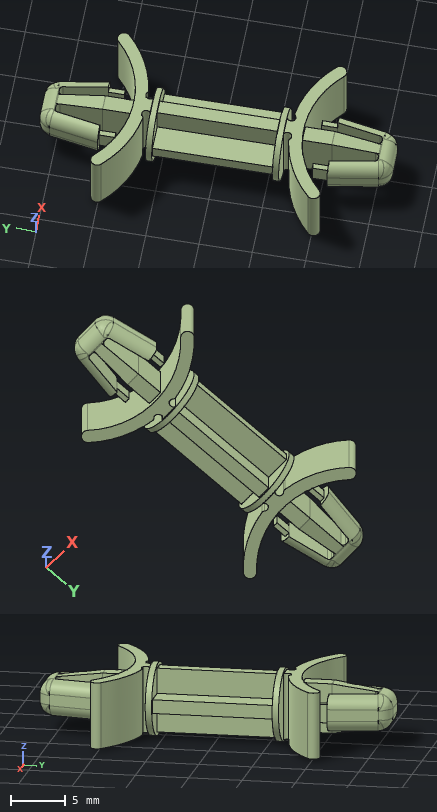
import cadquery as cq
import math

overall_length = 33.1
tip_y = overall_length / 2

flange_diameter = 6.9
flange_thickness = 0.6
flange_outer_y = 6.25
flange_inner_y = flange_outer_y - flange_thickness
cross_width = 6.1
rib_thickness = 1.3

wing_span = 14.8
wing_height = 6.3
wing_thickness = 1.25
wing_crest_y = 7.97
wing_inner_radius = 9.0
wing_mid_radius = wing_inner_radius + wing_thickness / 2
wing_outer_radius = wing_inner_radius + wing_thickness
wing_center_y = wing_crest_y + wing_inner_radius

neck_width = rib_thickness
groove_radius = 0.4
groove_center_y = 6.62
groove_lip_radius = 0.3

post_base_width = 1.5
post_base_height = 4.72
post_top_width = 1.05

barb_y = 10.75
head_base_width = 6.56
head_height = 3.5
leg_angle = math.radians(10)
leg_edge_radius = 1.2
tip_edge_radius = 1.35
gap_top_y = 15.12
gap_base_half_width = 2.13
gap_corner_radius = 0.3

tab_thickness = 0.52
tab_length = 1.5
tab_height = head_height / 2


def extrude_along_z(sketch, height):
    """Extrude an XY outline symmetrically about Z = 0."""
    return sketch.extrude(height / 2, both=True)


def box_between(x_size, y_start, y_end, z_size):
    """Box centred on the Y axis, from y_start to y_end."""
    return cq.Workplane("XY").box(x_size, y_end - y_start, z_size).translate((0, (y_start + y_end) / 2, 0))


def make_body():
    horizontal_rib = box_between(cross_width, -flange_inner_y, flange_inner_y, rib_thickness)
    vertical_rib = box_between(rib_thickness, -flange_inner_y, flange_inner_y, cross_width)
    return horizontal_rib.union(vertical_rib)


def make_flange():
    plane = cq.Workplane("XZ", origin=(0, flange_inner_y, 0))
    return plane.circle(flange_diameter / 2).extrude(-flange_thickness)


def make_wing():
    end_x = wing_span / 2 - wing_thickness / 2
    end_angle = math.asin(end_x / wing_mid_radius)

    def arc_point(radius, angle):
        return (radius * math.sin(angle), wing_center_y - radius * math.cos(angle))

    def end_cap_point(side):
        x, y = arc_point(wing_mid_radius, side * end_angle)
        cap_radius = wing_thickness / 2
        return (x + side * cap_radius * math.cos(end_angle), y + cap_radius * math.sin(end_angle))

    outline = (
        cq.Workplane("XY")
        .moveTo(*arc_point(wing_outer_radius, -end_angle))
        .threePointArc(arc_point(wing_outer_radius, 0), arc_point(wing_outer_radius, end_angle))
        .threePointArc(end_cap_point(1), arc_point(wing_inner_radius, end_angle))
        .threePointArc(arc_point(wing_inner_radius, 0), arc_point(wing_inner_radius, -end_angle))
        .threePointArc(end_cap_point(-1), arc_point(wing_outer_radius, -end_angle))
        .close()
    )
    return extrude_along_z(outline, wing_height)


def make_neck():
    return box_between(neck_width + 2 * groove_radius, flange_outer_y, wing_crest_y - wing_thickness / 2, wing_height)


def make_neck_grooves():
    """Round grooves whose inner walls leave the neck between them."""
    groove_x = neck_width / 2 + groove_radius
    centers = [(-groove_x, groove_center_y), (groove_x, groove_center_y)]
    return extrude_along_z(cq.Workplane("XY").pushPoints(centers).circle(groove_radius), wing_height)


def make_wing_on_neck():
    wing = make_wing().union(make_neck()).cut(make_neck_grooves())
    lip_x = neck_width / 2 + 2 * groove_radius
    lip_y = wing_center_y - math.sqrt(wing_outer_radius**2 - lip_x**2)
    for side in (-1, 1):
        lip = wing.edges("|Z").edges(cq.selectors.NearestToPointSelector((side * lip_x, lip_y, 0)))
        wing = lip.fillet(groove_lip_radius)
    return wing


def make_post():
    base = box_between(post_base_width, wing_crest_y - wing_thickness / 2, barb_y, post_base_height)
    taper = (
        cq.Workplane("XZ", origin=(0, barb_y, 0))
        .rect(post_base_width, post_base_height)
        .workplane(offset=barb_y - gap_top_y)
        .rect(post_top_width, head_height)
        .loft(ruled=True)
    )
    return base.union(taper)


def make_head():
    base_half = head_base_width / 2
    tip_half = base_half - (tip_y - barb_y) * math.tan(leg_angle)
    outline = (
        cq.Workplane("XY")
        .moveTo(-base_half, barb_y)
        .lineTo(base_half, barb_y)
        .lineTo(tip_half, tip_y)
        .lineTo(-tip_half, tip_y)
        .close()
    )
    head = extrude_along_z(outline, head_height)
    head = head.faces(">Y").edges().fillet(tip_edge_radius)
    side_edges = head.edges("%LINE").edges("<Z or >Z").edges("not(|X)")
    head = side_edges.fillet(leg_edge_radius)
    return head.cut(make_leg_gap(1)).cut(make_leg_gap(-1))


def make_leg_gap(side):
    """Opening between the post and one leg; side is +1 or -1 along X."""
    top_half = gap_base_half_width - (gap_top_y - barb_y) * math.tan(leg_angle)
    outline = (
        cq.Workplane("XY")
        .moveTo(side * post_base_width / 2, barb_y)
        .lineTo(side * gap_base_half_width, barb_y)
        .lineTo(side * top_half, gap_top_y)
        .lineTo(side * post_top_width / 2, gap_top_y)
        .close()
    )
    gap = extrude_along_z(outline, post_base_height)
    return gap.edges("|Z and >Y").fillet(gap_corner_radius)


def make_tabs():
    tab_x = gap_base_half_width + tab_thickness / 2
    tab = box_between(tab_thickness, barb_y - tab_length, barb_y, tab_height)
    return tab.translate((tab_x, 0, 0)).union(tab.translate((-tab_x, 0, 0)))


def make_snap_end():
    """Everything beyond the body at the +Y end."""
    snap = make_post().union(make_head()).union(make_tabs())
    return make_flange().union(make_wing_on_neck()).union(snap)


snap_end = make_snap_end()
result = make_body().union(snap_end).union(snap_end.mirror("XZ"))